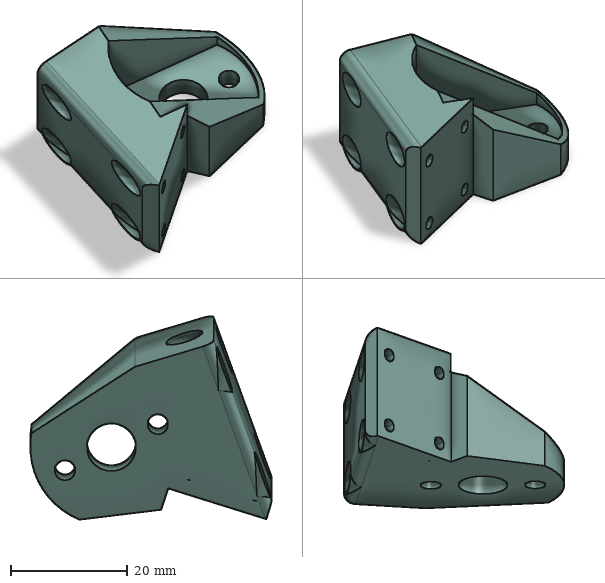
import cadquery as cq
import math

height = 20.0
body_depth = 17.75
front_flat = 3.0
left_x, left_y = -26.95, 18.25
shoulder_x, shoulder_y = -18.75, 29.9
ledge_x = 3.95
edge_radius = 2.0

plate_x, plate_y = -3.95, 29.3
plate_angle = 45
plate_radius = 14.0
arc_start_angle = 5.1
arc_end_angle = 82.5

slope_start = 10.7
slope_angle = 32.5
slope_half_width = 11.0

pocket_radius = 12.95
pocket_width = 14.6
pocket_floor = 4.0
center_bore = 8.4
side_bore = 3.5
side_bore_offset = 8.98

screw_bore = 2.2
screw_head_bore = 5.0
screw_seat = 2.5
screw_y, screw_z = 2.85, 2.68
lip_radius = screw_z
screw_pitch_y, screw_pitch_z = 12.05, 13.0

socket_diameter = 6.5
socket_straight = 0.45
socket_y = 22.55

margin = 21.58


def plate_point(angle):
    turn = math.radians(angle)
    return plate_x + plate_radius * math.cos(turn), plate_y + plate_radius * math.sin(turn)


def in_plate_frame(shape):
    """Move a shape from the plate's own axes to its place on the part."""
    return shape.rotate((0, 0, 0), (0, 0, 1), plate_angle).translate((plate_x, plate_y, 0))


def make_block():
    mid_angle = (arc_start_angle + arc_end_angle) / 2
    return (
        cq.Workplane("XY")
        .moveTo(0, 0)
        .lineTo(0, body_depth)
        .lineTo(ledge_x, body_depth)
        .lineTo(*plate_point(arc_start_angle))
        .threePointArc(plate_point(mid_angle), plate_point(arc_end_angle))
        .lineTo(shoulder_x, shoulder_y)
        .lineTo(left_x, left_y)
        .lineTo(-front_flat, 0)
        .close()
        .extrude(height)
    )


def make_body():
    block = make_block()
    body = block
    slant_x, slant_y = (left_x - front_flat) / 2, left_y / 2
    for z in (0, height):
        edge = cq.selectors.NearestToPointSelector((slant_x, slant_y, z))
        body = body.edges(edge).fillet(edge_radius)
    for column in range(2):
        lip = (
            cq.Workplane("YZ", origin=(0, screw_y + column * screw_pitch_y, screw_z))
            .circle(lip_radius)
            .extrude(2 * left_x)
        )
        body = body.union(block.intersect(lip))
    return body


def make_slope_cut():
    """Wedge over the plate; the corner of the body behind the mounting face stays full height."""
    length = plate_radius + slope_start + margin
    wedge = (
        cq.Workplane("XZ")
        .moveTo(-slope_start, height)
        .lineTo(length - slope_start, height)
        .lineTo(length - slope_start, height - length * math.tan(math.radians(slope_angle)))
        .close()
        .extrude(margin, both=True)
    )
    wedge = in_plate_frame(wedge)
    strip_length = 4 * margin
    strip = cq.Workplane("XY").box(
        strip_length, 2 * margin, strip_length
    ).translate((0, margin - slope_half_width, 0))
    ledge_side = cq.Workplane("XY").box(strip_length, strip_length, strip_length).translate(
        (strip_length / 2, body_depth + strip_length / 2, 0)
    )
    return wedge.intersect(in_plate_frame(strip).union(ledge_side))


def make_plate_cuts():
    pocket = cq.Workplane("XY", origin=(0, 0, pocket_floor)).circle(pocket_radius).extrude(height)
    pocket = pocket.intersect(cq.Workplane("XY").box(2 * pocket_radius, pocket_width, 4 * height))
    bores = cq.Workplane("XY").circle(center_bore / 2).extrude(height)
    for x in (-side_bore_offset, side_bore_offset):
        bores = bores.union(cq.Workplane("XY").center(x, 0).circle(side_bore / 2).extrude(height))
    return in_plate_frame(pocket.union(bores))


def make_screw_cut(y, z):
    bore = cq.Workplane("YZ", origin=(0, y, z)).circle(screw_bore / 2).extrude(2 * left_x)
    head = cq.Workplane("YZ", origin=(-screw_seat, y, z)).circle(screw_head_bore / 2).extrude(2 * left_x)
    return bore.union(head)


def make_socket():
    """Round-bottomed socket square to the left face."""
    run_x, run_y = shoulder_x - left_x, shoulder_y - left_y
    side_length = math.hypot(run_x, run_y)
    inward = cq.Vector(run_y / side_length, -run_x / side_length, 0)
    mouth = cq.Vector(left_x + run_x * (socket_y - left_y) / run_y, socket_y, height / 2)
    radius = socket_diameter / 2
    straight = cq.Solid.makeCylinder(
        radius, margin + socket_straight, mouth - inward * margin, inward
    )
    end = cq.Workplane("XY").sphere(radius).translate(mouth + inward * socket_straight)
    return end.union(cq.Workplane(obj=straight))


result = make_body().cut(make_slope_cut()).cut(make_plate_cuts()).cut(make_socket())
for row in range(2):
    for column in range(2):
        result = result.cut(
            make_screw_cut(screw_y + column * screw_pitch_y, screw_z + row * screw_pitch_z)
        )